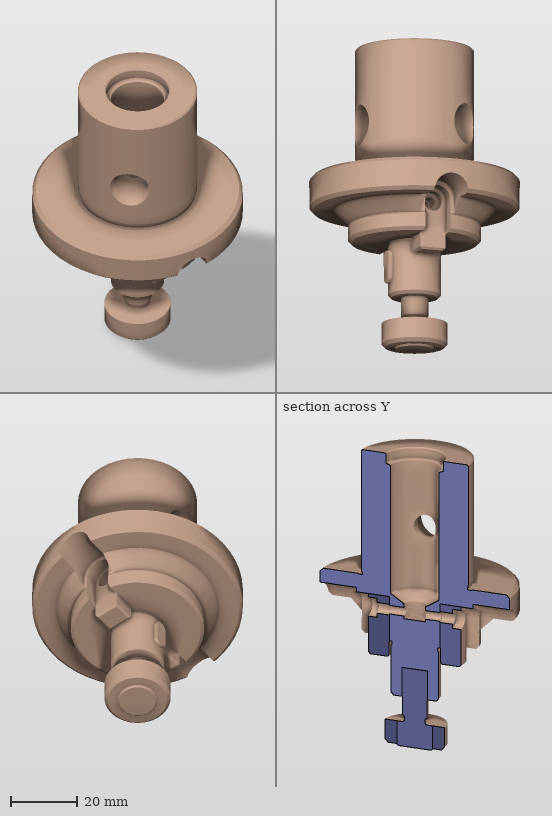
import cadquery as cq
import math

total_height = 92.1
flange_top = 52.8
flange_bottom = 42.65
boss_shoulder = 37.2
boss_bottom = 32.7
spigot_bottom = 15.75

tube_radius = 18.0
flange_radius = 63.5 / 2
cone_top_radius = 24.4
boss_radius = 20.1
spigot_radius = 8.0

tube_chamfer = 0.5
flange_chamfer = 1.1
boss_chamfer = 1.0
spigot_chamfer = 0.9
tube_relief_height = 1.3
tube_relief_depth = 0.4
face_relief_radius = 19.1
face_relief_depth = 0.2
boss_relief_height = 0.9
boss_relief_depth = 0.3
spigot_relief_height = 0.6
spigot_relief_depth = 0.4
spigot_relief_taper = 0.55

counterbore_radius = 9.5
counterbore_depth = 3.2
counterbore_chamfer = 0.4
counterbore_floor_drop = 0.5
bore_radius = spigot_radius
bore_bottom = 47.9
well_radius = 3.5
funnel_half_angle = math.radians(59)
well_top = bore_bottom - (bore_radius - well_radius) / math.tan(funnel_half_angle)
well_bottom = 40.5

screw_hole_height = 67.7
screw_hole_angles = (90, 220, 320)
screw_hole_mouth_radius = 5.9
screw_hole_inner_radius = 3.7
screw_seat_distance = 9.95
screw_hole_overshoot = 0.9

side_angles = (0, 180)
key_center_height = flange_bottom
key_bottom = 27.7
key_half_width = 4.05
key_inner_x = 8.5
key_outer_x = 15.5
key_chamfer = 0.6
key_counterbore_radius = 2.95
key_counterbore_depth = 2.8
key_hole_radius = 1.7
cross_hole_radius = 1.3
spotface_radius = 5.4
spotface_x = 19.5

feather_key_length = 10.0
feather_key_width = 4.0
feather_key_bottom = 19.7
feather_key_inner_y = 5.5
feather_key_outer_y = 9.1

stud_radius = 4.1
stud_top = 24.9
stud_shoulder = 10.0
stud_shoulder_chamfer = 0.55
neck_radius = 3.5
flare_radius = 0.7
disc_radius = 20.0 / 2
disc_top = 7.9
disc_bottom = 0.55
disc_top_chamfer = 0.2
disc_bottom_chamfer = 1.1
head_radius = 6.0
head_chamfer = 0.5


def revolve_profile(points):
    """Solid of revolution about Z from (radius, height) points."""
    return cq.Workplane("XZ").polyline(points).close().revolve(360, (0, 0, 0), (0, 1, 0))


def turned_about_z(body, angle):
    return body.rotate((0, 0, 0), (0, 0, 1), angle)


def housing_blank():
    tube_root_radius = tube_radius - tube_relief_depth
    relief_floor = flange_top - face_relief_depth
    boss_relief_radius = boss_radius - boss_relief_depth
    spigot_relief_radius = spigot_radius - spigot_relief_depth
    spigot_relief_bottom = boss_bottom - spigot_relief_height
    return revolve_profile([
        (0, total_height),
        (tube_radius - tube_chamfer, total_height),
        (tube_radius, total_height - tube_chamfer),
        (tube_radius, flange_top + tube_relief_height),
        (tube_root_radius, relief_floor),
        (face_relief_radius - face_relief_depth, relief_floor),
        (face_relief_radius, flange_top),
        (flange_radius - flange_chamfer, flange_top),
        (flange_radius, flange_top - flange_chamfer),
        (flange_radius, flange_bottom + flange_chamfer),
        (flange_radius - flange_chamfer, flange_bottom),
        (cone_top_radius, flange_bottom),
        (boss_relief_radius, boss_shoulder + boss_relief_height),
        (boss_radius, boss_shoulder),
        (boss_radius, boss_bottom + boss_chamfer),
        (boss_radius - boss_chamfer, boss_bottom),
        (spigot_relief_radius, boss_bottom),
        (spigot_relief_radius, spigot_relief_bottom),
        (spigot_radius, spigot_relief_bottom - spigot_relief_taper),
        (spigot_radius, spigot_bottom + spigot_chamfer),
        (spigot_radius - spigot_chamfer, spigot_bottom),
        (0, spigot_bottom),
    ])


def stepped_bore():
    counterbore_floor = total_height - counterbore_depth
    return revolve_profile([
        (0, total_height),
        (counterbore_radius + counterbore_chamfer, total_height),
        (counterbore_radius, total_height - counterbore_chamfer),
        (counterbore_radius, counterbore_floor),
        (bore_radius, counterbore_floor - counterbore_floor_drop),
        (bore_radius, bore_bottom),
        (well_radius, well_top),
        (well_radius, well_bottom),
        (0, well_bottom),
    ])


def screw_hole(angle):
    """Hole along +X with a conical mouth, turned to its angle about Z."""
    mouth_distance = math.sqrt(tube_radius**2 - screw_hole_mouth_radius**2)
    taper = (screw_hole_mouth_radius - screw_hole_inner_radius) / (mouth_distance - screw_seat_distance)
    outer_distance = tube_radius + screw_hole_overshoot
    outer_radius = screw_hole_inner_radius + taper * (outer_distance - screw_seat_distance)
    hole = (
        cq.Workplane("XZ")
        .polyline([
            (0, 0),
            (0, screw_hole_inner_radius),
            (screw_seat_distance, screw_hole_inner_radius),
            (outer_distance, outer_radius),
            (outer_distance, 0),
        ])
        .close()
        .revolve(360, (0, 0, 0), (1, 0, 0))
    )
    return turned_about_z(hole, angle).translate((0, 0, screw_hole_height))


def round_top_bar(half_width, bottom, x_start, x_end):
    """Bar along X, flat at the bottom and rounded about the key centre at the top."""
    return (
        cq.Workplane("YZ", origin=(x_start, 0, 0))
        .moveTo(-half_width, bottom)
        .lineTo(half_width, bottom)
        .lineTo(half_width, key_center_height)
        .threePointArc((0, key_center_height + half_width), (-half_width, key_center_height))
        .close()
        .extrude(x_end - x_start)
    )


def x_cylinder(radius, x_start, x_end):
    """Cylinder along X at the height of the key centre."""
    return (
        cq.Workplane("YZ", origin=(x_start, 0, key_center_height))
        .circle(radius)
        .extrude(x_end - x_start)
    )


def key_slot():
    slot = round_top_bar(key_half_width, boss_bottom, key_inner_x, flange_radius)
    spotface = round_top_bar(spotface_radius, boss_shoulder + boss_relief_height, spotface_x, flange_radius)
    return slot.union(spotface)


def drive_key():
    key = round_top_bar(key_half_width, key_bottom, key_inner_x, key_outer_x)
    key = key.faces("<Z").edges().chamfer(key_chamfer)
    counterbore = x_cylinder(key_counterbore_radius, key_outer_x - key_counterbore_depth, key_outer_x)
    screw_clearance = x_cylinder(key_hole_radius, key_inner_x, key_outer_x)
    return key.cut(counterbore).cut(screw_clearance)


def feather_key():
    center_height = feather_key_bottom + feather_key_length / 2
    return (
        cq.Workplane("XZ", origin=(0, feather_key_inner_y, center_height))
        .slot2D(feather_key_length, feather_key_width, 90)
        .extrude(feather_key_inner_y - feather_key_outer_y)
    )


def stud():
    """Stud with a waisted neck that flares in a fillet into its round head."""
    flare_offset = flare_radius * (1 - math.sqrt(0.5))
    return (
        cq.Workplane("XZ")
        .moveTo(0, stud_top)
        .lineTo(stud_radius, stud_top)
        .lineTo(stud_radius, stud_shoulder)
        .lineTo(neck_radius, stud_shoulder - stud_shoulder_chamfer)
        .lineTo(neck_radius, disc_top + flare_radius)
        .threePointArc(
            (neck_radius + flare_offset, disc_top + flare_offset),
            (neck_radius + flare_radius, disc_top),
        )
        .lineTo(head_radius, disc_top)
        .lineTo(head_radius, head_chamfer)
        .lineTo(head_radius - head_chamfer, 0)
        .lineTo(0, 0)
        .close()
        .revolve(360, (0, 0, 0), (0, 1, 0))
    )


def disc():
    return revolve_profile([
        (head_radius, disc_top),
        (disc_radius - disc_top_chamfer, disc_top),
        (disc_radius, disc_top - disc_top_chamfer),
        (disc_radius, disc_bottom + disc_bottom_chamfer),
        (disc_radius - disc_bottom_chamfer, disc_bottom),
        (head_radius, disc_bottom),
    ])


def housing():
    """Flanged tube with its boss and spigot, and the seats for the other bodies."""
    body = housing_blank().cut(stepped_bore())
    for angle in screw_hole_angles:
        body = body.cut(screw_hole(angle))
    for angle in side_angles:
        body = body.cut(turned_about_z(key_slot(), angle))
    body = body.cut(x_cylinder(cross_hole_radius, -key_inner_x, key_inner_x))
    return body.cut(feather_key()).cut(stud())


drive_keys = [turned_about_z(drive_key(), angle) for angle in side_angles]

result = cq.Compound.makeCompound([
    housing().val(),
    *[key.val() for key in drive_keys],
    feather_key().val(),
    stud().val(),
    disc().val(),
])